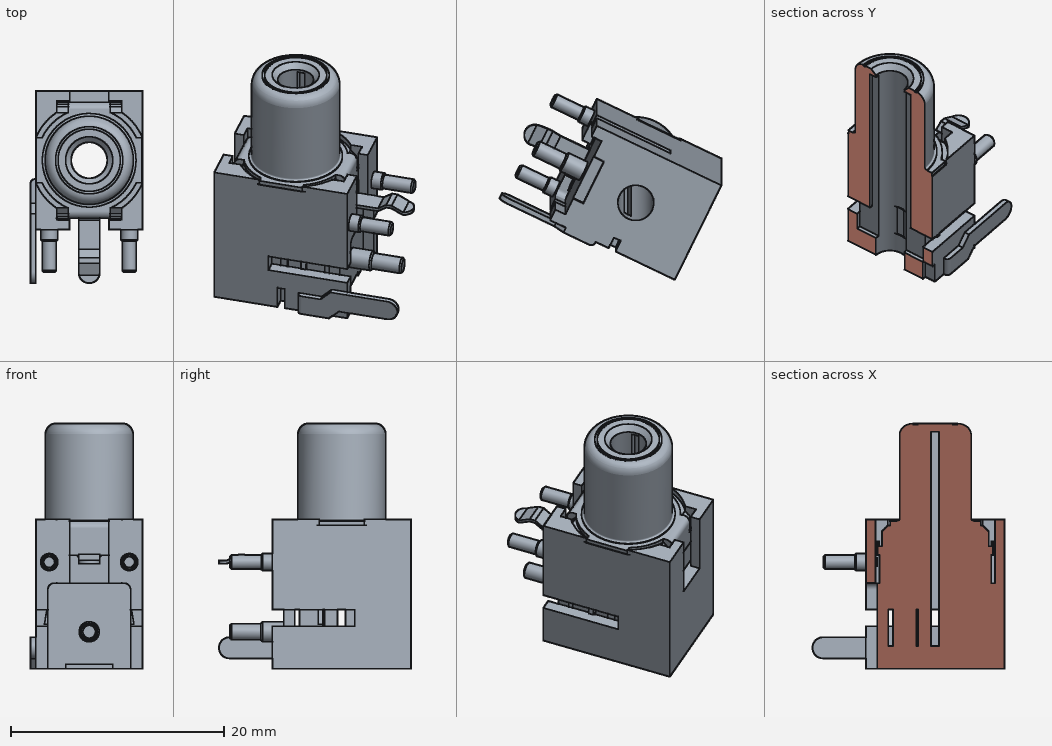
import cadquery as cq


total_height = 23.0
housing_width = 10.0
housing_depth = 13.0
housing_height = 14.0
half_width = housing_width / 2
front_y = -housing_depth / 2

barrel_radius = 4.15
rim_start_z = 22.0
rim_lower_mid = (4.05, 22.35)
rim_break = (3.86, 22.65)
rim_upper_mid = (3.55, 22.9)
collar_radius = 4.4
collar_top = 13.92
barrel_root_radius = 0.15
bore_radius = 1.68
bore_mouth_radius = 2.2
rim_groove_inner = 2.92
rim_groove_outer = 3.15
rim_groove_depth = 0.12
bore_slot_reach = 2.4
bore_slot_top = 22.2

pocket_radius = 5.43
pocket_floor = 13.43
yoke_top = 13.85
yoke_disc_radius = 4.9
yoke_ear_reach = 4.95
yoke_ear_width = 4.19
leg_outer_y = 5.43
leg_thickness = 0.18
leg_bend_radius = 0.65
leg_neck_width = 3.9
leg_width = 5.98
leg_shoulder_top = 11.95
leg_bottom = 10.65

channel_width = 6.1
channel_inner_y = 4.46
channel_outer_y = 5.6
channel_mouth_width = 3.68
core_top = 11.5
core_slope_depth = 0.55
core_slope_top = 13.43

recess_width = 7.75
recess_height = 8.03
recess_corner_radius = 0.6
cover_front_y = -5.45
cover_back_y = -4.4
cover_notch_width = 4.42
cover_notch_height = 0.41

window_bottom = 4.0
window_top = 5.55
window_back_y = 1.2
contact_slot_back_y = 0.32
contact_slot_front_y = -0.4
contact_slot_height = 2.16
finger_back_y = -1.75
cross_gaps = [
    (contact_slot_front_y, contact_slot_back_y),
    (finger_back_y, -1.63),
    (cover_back_y, -3.98),
]
finger_width = 0.45
finger_bottom = 4.16
finger_top_reach = 0.1
finger_bottom_reach = 0.32

pin_tip_y = -10.49
pin_step_y = -7.6
pin_chamfer = 0.15
upper_pin_x = 3.75
upper_pin_z = 10.0
upper_pin_base_radius = 0.8
upper_pin_radius = 0.67
lower_pin_z = 3.47
lower_pin_base_radius = 0.95
lower_pin_radius = 0.75

terminal_tip_y = -11.52
terminal_width = 2.0
terminal_radius = terminal_width / 2
signal_thickness = 0.32
signal_top = 10.17
signal_crest = 10.72
signal_rise_start_y = -8.33
signal_crest_start_y = -9.13
signal_crest_end_y = -9.65
signal_fall_end_y = -10.79
signal_root_radius = 0.2
signal_gusset_radius = 0.25
side_thickness = 0.5
side_outer_x = -half_width - side_thickness
side_back_y = finger_back_y
side_bend_radius = 0.44
side_root_top = 2.0
side_blade_bottom = 0.97
side_upper_step_y = -4.02
side_lower_step_y = -4.85


def block(x_range, y_range, z_range):
    """Box spanning the given (low, high) limits."""
    lows, highs = zip(x_range, y_range, z_range)
    sizes = [high - low for low, high in zip(lows, highs)]
    return cq.Workplane("XY").box(*sizes, centered=False).translate(lows)


def centred(width):
    return (-width / 2, width / 2)


def disc(radius, bottom, top):
    return cq.Workplane("XY").workplane(offset=bottom).circle(radius).extrude(top - bottom)


def extrude_in_x(profile, x_low, x_high):
    """Extrude a closed YZ profile between two X positions."""
    return profile.extrude(x_high - x_low).translate((x_low, 0, 0))


def front_and_back(front):
    """The given front feature together with its copy at the back."""
    return front.union(front.mirror("XZ"))


def leg_channel():
    """T-shaped channel at the front, with a sloped shoulder on the core behind it."""
    channel = block(
        centred(channel_width), (-channel_outer_y, -channel_inner_y), (recess_height, housing_height)
    )
    mouth = block(
        centred(channel_mouth_width), (front_y, -channel_outer_y), (recess_height, housing_height)
    )
    core_y = -(leg_outer_y - leg_thickness)
    slope_bottom = core_slope_top - core_slope_depth
    core_profile = (
        cq.Workplane("YZ")
        .moveTo(-channel_inner_y, recess_height)
        .lineTo(core_y, recess_height)
        .lineTo(core_y, core_top)
        .lineTo(-channel_inner_y - core_slope_depth, core_top)
        .lineTo(-channel_inner_y - core_slope_depth, slope_bottom)
        .lineTo(-channel_inner_y, core_slope_top)
        .close()
    )
    core = extrude_in_x(core_profile, *centred(channel_width))
    return channel.union(mouth).cut(core)


def yoke_leg():
    """Bent front leg: a narrow rounded neck above a wider plate."""
    neck = block(centred(leg_neck_width), (-leg_outer_y, -channel_inner_y), (leg_shoulder_top, yoke_top))
    neck = neck.edges("<Y and >Z").fillet(leg_bend_radius)
    plate = block(
        centred(leg_width),
        (-leg_outer_y, -leg_outer_y + leg_thickness),
        (leg_bottom, leg_shoulder_top),
    )
    return neck.union(plate)


def yoke():
    """Flange clipped to the channel depth, with ears to the side walls and both legs."""
    flange = disc(yoke_disc_radius, pocket_floor, yoke_top)
    ears = block(centred(2 * yoke_ear_reach), centred(yoke_ear_width), (pocket_floor, yoke_top))
    flange_limits = block(
        centred(housing_width), centred(2 * channel_inner_y), (pocket_floor, yoke_top)
    )
    return flange.intersect(flange_limits).union(ears).union(front_and_back(yoke_leg()))


def housing():
    """Block with the flange pocket, leg channels and the stepped front cover."""
    body = block(centred(housing_width), centred(housing_depth), (0, housing_height))
    pocket = disc(pocket_radius, pocket_floor, housing_height)
    pocket_limits = block(
        centred(housing_width), centred(2 * channel_inner_y), (pocket_floor, housing_height)
    )
    body = body.cut(pocket.intersect(pocket_limits))
    body = body.cut(front_and_back(leg_channel()))
    recess = block(centred(recess_width), (front_y, cover_front_y), (0, recess_height))
    recess = recess.edges("|Y and >Z").fillet(recess_corner_radius)
    notch = block(
        centred(cover_notch_width), (cover_front_y, cover_back_y), (0, cover_notch_height)
    )
    return body.cut(recess).cut(notch)


def side_openings():
    """Windows in both side walls, the gaps running across between them, and the contact slot."""
    window_band = block(centred(housing_width), (front_y, window_back_y), (window_bottom, window_top))
    inner = block(centred(recess_width), (front_y, window_back_y), (window_bottom, window_top))
    openings = window_band.cut(inner)
    for gap in cross_gaps:
        openings = openings.union(block(centred(recess_width), gap, (contact_slot_height, window_top)))
    contact_slot = block(
        (-half_width, -recess_width / 2),
        (contact_slot_front_y, contact_slot_back_y),
        (0, contact_slot_height),
    )
    return openings.union(contact_slot)


def window_fingers():
    """Slanted contact fingers standing out of the core inside both windows."""
    core_x = recess_width / 2
    finger = (
        cq.Workplane("XZ", origin=(0, finger_back_y, 0))
        .moveTo(core_x, window_top)
        .lineTo(core_x + finger_top_reach, window_top)
        .lineTo(core_x + finger_bottom_reach, finger_bottom)
        .lineTo(core_x, finger_bottom)
        .close()
        .extrude(finger_width)
    )
    return finger.union(finger.mirror("YZ"))


def barrel():
    """Barrel with a two-arc rounded rim, a small root fillet and a collar around its foot."""
    root_z = collar_top + barrel_root_radius
    shell_profile = (
        cq.Workplane("XZ")
        .moveTo(0, pocket_floor)
        .lineTo(collar_radius, pocket_floor)
        .lineTo(collar_radius, collar_top)
        .lineTo(barrel_radius + barrel_root_radius, collar_top)
        .radiusArc((barrel_radius, root_z), barrel_root_radius)
        .lineTo(barrel_radius, rim_start_z)
        .threePointArc(rim_lower_mid, rim_break)
        .threePointArc(rim_upper_mid, (rim_groove_outer, total_height))
        .lineTo(0, total_height)
        .close()
    )
    shell = shell_profile.revolve(360, (0, 0, 0), (0, 1, 0))
    groove_floor = total_height - rim_groove_depth
    groove = disc(rim_groove_outer, groove_floor, total_height)
    groove = groove.cut(disc(rim_groove_inner, groove_floor, total_height))
    return shell.cut(groove)


def bore():
    """Through bore with a conical mouth and two lengthwise contact slots."""
    mouth_bottom = total_height - (bore_mouth_radius - bore_radius)
    hole_profile = (
        cq.Workplane("XZ")
        .lineTo(bore_radius, 0)
        .lineTo(bore_radius, mouth_bottom)
        .lineTo(bore_mouth_radius, total_height)
        .lineTo(0, total_height)
        .close()
    )
    hole = hole_profile.revolve(360, (0, 0, 0), (0, 1, 0))
    slots = block(
        centred(2 * bore_slot_reach),
        (contact_slot_front_y, contact_slot_back_y),
        (window_bottom, bore_slot_top),
    )
    return hole.union(slots)


def pin(x, z, base_radius, shank_radius):
    """Stepped pin pointing towards -Y from the cover plane."""
    start = cq.Workplane("XZ", origin=(x, cover_front_y, z))
    base = start.circle(base_radius).extrude(cover_front_y - pin_step_y)
    base = base.faces("<Y").edges().chamfer(pin_chamfer)
    shank = start.circle(shank_radius).extrude(cover_front_y - pin_tip_y)
    shank = shank.faces("<Y").edges().chamfer(pin_chamfer)
    return base.union(shank)


def signal_terminal():
    """Front terminal with a raised snap-in crest and a rounded tip."""
    root_y = -leg_outer_y + leg_thickness
    top_line = [
        (root_y, signal_top),
        (signal_rise_start_y, signal_top),
        (signal_crest_start_y, signal_crest),
        (signal_crest_end_y, signal_crest),
        (signal_fall_end_y, signal_top),
        (terminal_tip_y, signal_top),
    ]
    bottom_line = [(y, z - signal_thickness) for y, z in reversed(top_line)]
    strip_profile = cq.Workplane("YZ").polyline(top_line + bottom_line).close()
    strip = extrude_in_x(strip_profile, *centred(terminal_width))
    tip_centre_y = terminal_tip_y + terminal_radius
    tip_outline = (
        cq.Workplane("XY")
        .moveTo(-terminal_radius, root_y)
        .lineTo(-terminal_radius, tip_centre_y)
        .threePointArc((0, terminal_tip_y), (terminal_radius, tip_centre_y))
        .lineTo(terminal_radius, root_y)
        .close()
    )
    strip = strip.intersect(tip_outline.extrude(housing_height))
    root_profile = (
        cq.Workplane("YZ")
        .moveTo(root_y, signal_top)
        .lineTo(root_y, leg_bottom)
        .lineTo(-leg_outer_y, leg_bottom)
        .lineTo(-leg_outer_y, signal_top + signal_root_radius)
        .radiusArc((-leg_outer_y - signal_root_radius, signal_top), -signal_root_radius)
        .close()
    )
    root = extrude_in_x(root_profile, *centred(terminal_width))
    gusset = (
        cq.Workplane("XZ", origin=(0, root_y, 0))
        .moveTo(terminal_radius, leg_bottom)
        .lineTo(terminal_radius + signal_gusset_radius, leg_bottom)
        .radiusArc((terminal_radius, leg_bottom - signal_gusset_radius), -signal_gusset_radius)
        .close()
        .extrude(leg_thickness)
    )
    return strip.union(root).union(gusset).union(gusset.mirror("YZ"))


def side_terminal():
    """Ground terminal lying on the -X wall, stepping up to a blade with a round end."""
    blade_top = side_blade_bottom + terminal_width
    tip_centre_y = terminal_tip_y + terminal_radius
    profile = (
        cq.Workplane("YZ")
        .moveTo(side_back_y, 0)
        .lineTo(side_back_y, side_root_top)
        .lineTo(side_upper_step_y, side_root_top)
        .lineTo(side_upper_step_y - (blade_top - side_root_top), blade_top)
        .lineTo(tip_centre_y, blade_top)
        .threePointArc(
            (terminal_tip_y, side_blade_bottom + terminal_radius), (tip_centre_y, side_blade_bottom)
        )
        .lineTo(side_lower_step_y - side_blade_bottom, side_blade_bottom)
        .lineTo(side_lower_step_y, 0)
        .close()
    )
    blade = extrude_in_x(profile, side_outer_x, -half_width)
    return blade.edges("|Z and >Y and <X").fillet(side_bend_radius)


result = housing().cut(side_openings())
result = result.union(window_fingers()).union(yoke()).union(barrel()).cut(bore())
for pin_x in (-upper_pin_x, upper_pin_x):
    result = result.union(pin(pin_x, upper_pin_z, upper_pin_base_radius, upper_pin_radius))
result = result.union(pin(0, lower_pin_z, lower_pin_base_radius, lower_pin_radius))
result = result.union(signal_terminal()).union(side_terminal())